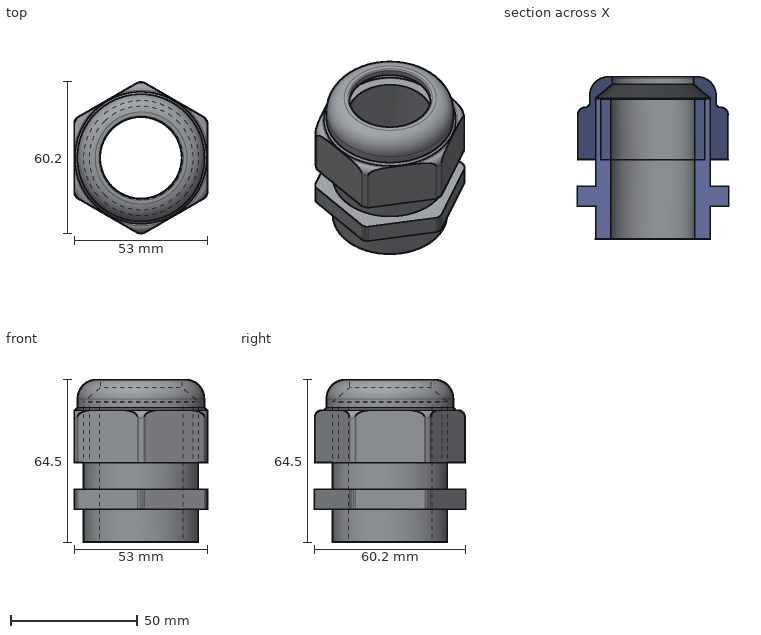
import cadquery as cq
import math

total_height = 64.5
across_flats = 53.0
hexagon_corners = 6
corner_turn = 360 / hexagon_corners
flat_to_corner = math.cos(math.radians(corner_turn / 2))
bore_radius = 16.6

tube_radius = 22.85
tube_top = 55.8
tube_rim_fillet = 0.6
flange_bottom = 13.0
flange_height = 8.0
flange_corner_radius = 3.2
flange_corner_facets = 5

seal_radius = 20.6
seal_top = 55.55
seal_length = 24.0
seal_bottom = seal_top - seal_length

nut_bottom = 31.5
nut_corner_radius = 29.87
nut_corner_fillet = 1.0
nut_shoulder_round = 3.0
nut_shoulder_top = 52.4
nut_hex_height = nut_shoulder_top - nut_bottom
collar_foot_radius = 26.2
collar_foot_top = 53.35
collar_radius = 25.25
dome_bottom = 56.8
dome_flat_radius = 18.25
mouth_radius = 16.15
mouth_fillet = 0.6
lip_bottom = 61.4


def hexagon_prism(bottom, height):
    """Hexagonal prism with two flats facing -X and +X."""
    corner_diameter = across_flats / flat_to_corner
    return (
        cq.Workplane("XY", origin=(0, 0, bottom))
        .polygon(hexagon_corners, corner_diameter)
        .extrude(height)
        .rotate((0, 0, 0), (0, 0, 1), corner_turn / 2)
    )


def cylinder(radius, bottom, top):
    return cq.Workplane("XY", origin=(0, 0, bottom)).circle(radius).extrude(top - bottom)


def make_flange():
    """Hexagon with each corner broken into flat facets that touch one small circle."""
    facet_angle = corner_turn / (flange_corner_facets + 1)
    vertex_distance = flange_corner_radius / math.cos(math.radians(facet_angle / 2))
    center_distance = (across_flats / 2 - flange_corner_radius) / flat_to_corner
    outline = []
    for corner in range(hexagon_corners):
        corner_angle = corner_turn * (corner + 0.5)
        center_x = center_distance * math.cos(math.radians(corner_angle))
        center_y = center_distance * math.sin(math.radians(corner_angle))
        for vertex in range(flange_corner_facets + 1):
            angle = math.radians(corner_angle + facet_angle * (vertex - flange_corner_facets / 2))
            outline.append(
                (
                    center_x + vertex_distance * math.cos(angle),
                    center_y + vertex_distance * math.sin(angle),
                )
            )
    return cq.Workplane("XY", origin=(0, 0, flange_bottom)).polyline(outline).close().extrude(flange_height)


def make_body():
    tube = cylinder(tube_radius, 0, tube_top)
    tube = tube.cut(cylinder(seal_radius, seal_bottom, tube_top))
    tube = tube.faces(">Z").edges(cq.selectors.RadiusNthSelector(0)).fillet(tube_rim_fillet)
    return tube.union(make_flange()).cut(cylinder(bore_radius, 0, total_height))


def make_seal():
    return cylinder(seal_radius, seal_bottom, seal_top).cut(cylinder(bore_radius, 0, total_height))


def nut_skirt():
    """Hexagon whose corners are turned to a cylinder, with the top of the corners rounded over."""
    turned = cylinder(nut_corner_radius, nut_bottom, nut_shoulder_top)
    blank = hexagon_prism(nut_bottom, nut_hex_height).intersect(turned)
    blank = blank.edges("|Z").fillet(nut_corner_fillet)
    rounded = turned.faces(">Z").edges().fillet(nut_shoulder_round)
    return blank.intersect(rounded)


def nut_dome():
    """Turned collar and dome above the skirt; the dome arc is tangent to the collar wall."""
    return (
        cq.Workplane("XZ")
        .moveTo(0, nut_bottom)
        .lineTo(collar_radius, nut_bottom)
        .lineTo(collar_foot_radius, nut_shoulder_top)
        .lineTo(collar_radius, collar_foot_top)
        .lineTo(collar_radius, dome_bottom)
        .tangentArcPoint((dome_flat_radius, total_height), relative=False)
        .lineTo(0, total_height)
        .close()
        .revolve(360, (0, 0, 0), (0, 1, 0))
    )


def nut_cavity():
    """Bore that takes the tube, then a cone that narrows to the mouth."""
    cone = (
        cq.Workplane("XZ")
        .moveTo(0, tube_top)
        .lineTo(tube_radius, tube_top)
        .lineTo(mouth_radius, lip_bottom)
        .lineTo(0, lip_bottom)
        .close()
        .revolve(360, (0, 0, 0), (0, 1, 0))
    )
    return cylinder(tube_radius, nut_bottom, tube_top).union(cone)


def make_cap_nut():
    nut = nut_skirt().union(nut_dome())
    nut = nut.cut(cylinder(mouth_radius, nut_bottom, total_height))
    mouth_edge = nut.faces(">Z").edges(cq.selectors.RadiusNthSelector(0))
    return mouth_edge.fillet(mouth_fillet).cut(nut_cavity())


body = make_body()
seal = make_seal()
cap_nut = make_cap_nut()

result = cq.Compound.makeCompound([body.solids().val(), seal.solids().val(), cap_nut.solids().val()])